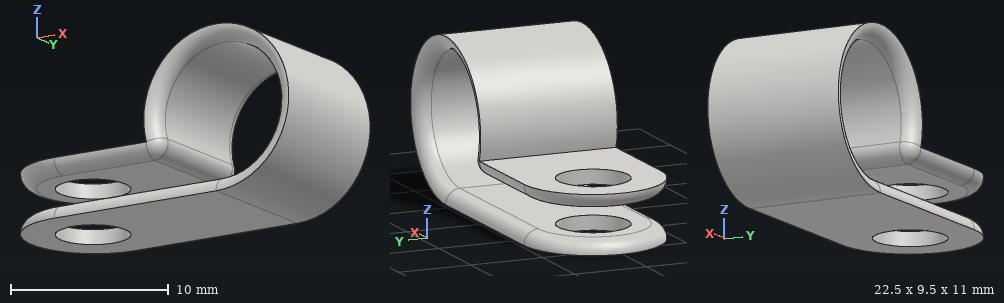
import cadquery as cq
import math


strap_width = 9.5
strap_thickness = 1.0
overall_length = 22.5
loop_outer_radius = 5.5
tab_gap = 2.0
hole_diameter = 4.8
hole_offset_from_tip = 4.6

half_width = strap_width / 2
tip_radius = half_width
edge_radius = strap_thickness
inner_half_width = half_width - edge_radius
edge_mid_offset = edge_radius * math.sqrt(0.5)

loop_center_x = overall_length - tip_radius - loop_outer_radius
loop_center_z = loop_outer_radius
hole_x = hole_offset_from_tip - tip_radius
upper_tab_top = 2 * strap_thickness + tab_gap

fold_drop = loop_center_z - upper_tab_top
fold_angle = math.degrees(math.asin(fold_drop / loop_outer_radius))
fold_x = loop_center_x - math.sqrt(loop_outer_radius**2 - fold_drop**2)
loop_sweep_angle = 270 + fold_angle
fold_sweep_angle = 90 + fold_angle


def strap_section(x, outer_z, inward):
    """Strap cross-section across Y; inward is +1 or -1 along Z, toward the inner face."""
    edge_mid_y = inner_half_width + edge_mid_offset
    edge_mid_z = inward * edge_mid_offset
    inner_z = inward * strap_thickness
    return (
        cq.Workplane("YZ", origin=(x, 0, outer_z))
        .moveTo(-half_width, 0)
        .lineTo(half_width, 0)
        .threePointArc((edge_mid_y, edge_mid_z), (inner_half_width, inner_z))
        .lineTo(-inner_half_width, inner_z)
        .threePointArc((-edge_mid_y, edge_mid_z), (-half_width, 0))
        .close()
    )


def revolve_about_y(section, axis_height, angle):
    """Revolve a section about -Y through a point axis_height above the section origin."""
    return section.revolve(angle, (0, axis_height), (-1, axis_height))


def rounded_tip():
    """Half-round tab end, its upper rim rounded over the full thickness."""
    return (
        cq.Workplane("YZ")
        .lineTo(tip_radius, 0)
        .threePointArc(
            (inner_half_width + edge_mid_offset, edge_mid_offset),
            (inner_half_width, strap_thickness),
        )
        .lineTo(0, strap_thickness)
        .close()
        .revolve(180, (0, 0), (0, 1))
    )


def tab(length):
    """Flat tab with its outer face on Z = 0, from the rounded tip to X = length."""
    return strap_section(0, 0, 1).extrude(length).union(rounded_tip())


def screw_hole():
    return (
        cq.Workplane("XY")
        .center(hole_x, 0)
        .circle(hole_diameter / 2)
        .extrude(upper_tab_top)
    )


lower_tab = tab(loop_center_x)
upper_tab = tab(fold_x).mirror("XY").translate((0, 0, upper_tab_top))
loop = revolve_about_y(strap_section(loop_center_x, 0, 1), loop_center_z, loop_sweep_angle)
fold = revolve_about_y(strap_section(fold_x, upper_tab_top, -1), 0, fold_sweep_angle)

result = lower_tab.union(loop).union(fold).union(upper_tab).cut(screw_hole())